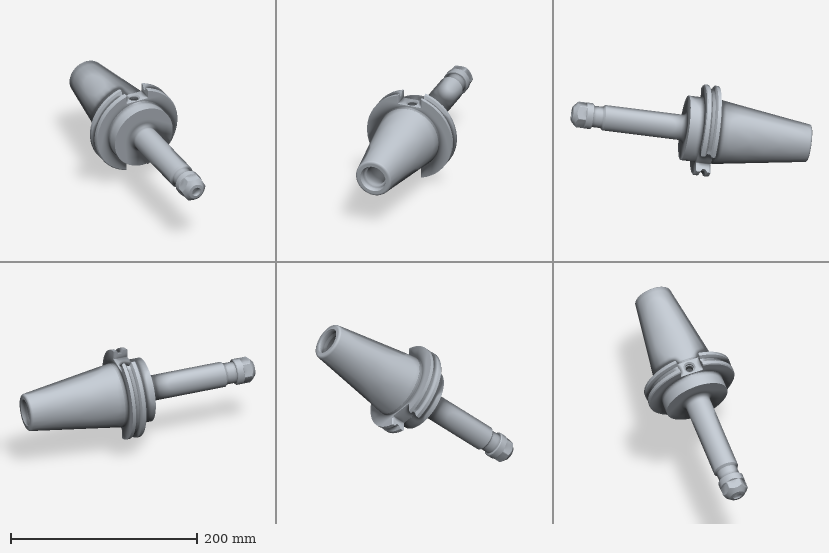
import cadquery as cq
import math


taper_length = 101.5
gauge_diameter = 69.8
taper_per_length = 7 / 24
small_diameter = gauge_diameter - taper_length * taper_per_length
small_end_fillet = 2.5

relief_diameter = 69.3
relief_step = 0.5

flange_start = 105.1
flange_end = 121.0
flange_diameter = 98.0
flange_chamfer = 1.0
flange_root_fillet = 0.8
groove_start = 108.8
groove_end = 116.3
groove_flank = 2.0
groove_depth = 4.0

hub_end = 136.3
hub_diameter = 69.8
extension_diameter = 27.5
extension_fillet = 3.6
extension_end = 227.0
extension_chamfer = 2.3
neck_diameter = 23.0

slot_width = 25.7
slot_floor_fillet = 0.8
slot_entry_chamfer = 1.0
top_slot_floor = 37.0
bottom_slot_floor = 35.5

screw_hole_x = (flange_start + flange_end) / 2
screw_hole_diameter = 8.0
screw_hole_depth = 10.5
screw_mouth_diameter = 12.7
screw_recess_diameter = 9.5
screw_recess_depth = 4.0
drill_point_half_angle = math.radians(59)

mouth_diameter = 29.0
mouth_depth = 2.0
entry_diameter = 27.5
pilot_diameter = 26.5
pilot_depth = 6.5
thread_diameter = 22.0
thread_depth = 57.0
bore_diameter = 11.5

nut_start = 237.3
nut_end = 259.5
nut_crown = 0.5
nut_diameter = 28.0
nut_back_chamfer = 0.8
nut_face_diameter = 17.0
nut_opening_diameter = 10.0
hex_sides = 6
hex_across_flats = 24.7
hex_start = 245.5
hex_runout_angle = math.radians(60)

spigot_diameter = 20.5
spigot_end = 251.8

cutter_overshoot = 2.5


def revolve_about_x(points):
    """Turn a closed profile of (x, radius) points about the X axis."""
    return cq.Workplane("XY").polyline(points).close().revolve(360, (0, 0, 0), (1, 0, 0))


def turned_blank():
    """Solid outer form of the holder, without slots and bore."""
    flange_radius = flange_diameter / 2
    groove_radius = flange_radius - groove_depth
    relief_radius = relief_diameter / 2
    hub_radius = hub_diameter / 2
    extension_radius = extension_diameter / 2
    neck_radius = neck_diameter / 2
    profile = (
        cq.Workplane("XY")
        .moveTo(0, 0)
        .lineTo(0, small_diameter / 2)
        .lineTo(taper_length, gauge_diameter / 2)
        .lineTo(taper_length + relief_step, relief_radius)
        .lineTo(flange_start - flange_root_fillet, relief_radius)
        .radiusArc((flange_start, relief_radius + flange_root_fillet), -flange_root_fillet)
        .lineTo(flange_start, flange_radius)
        .lineTo(groove_start, flange_radius)
        .lineTo(groove_start + groove_flank, groove_radius)
        .lineTo(groove_end - groove_flank, groove_radius)
        .lineTo(groove_end, flange_radius)
        .lineTo(flange_end - flange_chamfer, flange_radius)
        .lineTo(flange_end, flange_radius - flange_chamfer)
        .lineTo(flange_end, hub_radius + flange_root_fillet)
        .radiusArc((flange_end + flange_root_fillet, hub_radius), -flange_root_fillet)
        .lineTo(hub_end, hub_radius)
        .lineTo(hub_end, extension_radius + extension_fillet)
        .radiusArc((hub_end + extension_fillet, extension_radius), -extension_fillet)
        .lineTo(extension_end - extension_chamfer, extension_radius)
        .lineTo(extension_end, neck_radius)
        .lineTo(nut_start, neck_radius)
        .lineTo(nut_start, spigot_diameter / 2)
        .lineTo(spigot_end, spigot_diameter / 2)
        .lineTo(spigot_end, 0)
        .close()
    )
    blank = profile.revolve(360, (0, 0, 0), (1, 0, 0))
    return blank.faces("<X").edges().fillet(small_end_fillet)


def drive_slot(floor_height, side):
    """Cutter for one slot; side is +1 for the top and -1 for the bottom."""
    slot_height = flange_diameter / 2 - floor_height + cutter_overshoot
    middle = ((flange_start + flange_end) / 2, 0, side * (floor_height + slot_height / 2))
    cutter = cq.Workplane("XY").box(flange_end - flange_start, slot_width, slot_height).translate(middle)
    floor_face = "<Z" if side > 0 else ">Z"
    return cutter.faces(floor_face).edges("|X").fillet(slot_floor_fillet)


def slot_entry(floor_height, side):
    """Wedge cutter that chamfers both walls of a slot at the taper-side face."""
    wall = slot_width / 2
    points = [
        (flange_start, wall + slot_entry_chamfer),
        (flange_start + slot_entry_chamfer, wall),
        (flange_start + slot_entry_chamfer, -wall),
        (flange_start, -wall - slot_entry_chamfer),
    ]
    lowest = side * (floor_height + slot_floor_fillet)
    height = side * flange_diameter / 2
    return cq.Workplane("XY").workplane(offset=lowest).polyline(points).close().extrude(height)


def screw_hole():
    """Blind drilled hole with a countersunk mouth, going down from the top slot floor."""
    hole_radius = screw_hole_diameter / 2
    recess_radius = screw_recess_diameter / 2
    mouth_radius = screw_mouth_diameter / 2
    recess_bottom = top_slot_floor - screw_recess_depth
    hole_bottom = top_slot_floor - screw_hole_depth
    point_depth = hole_radius / math.tan(drill_point_half_angle)
    points = [
        (0, hole_bottom - point_depth),
        (hole_radius, hole_bottom),
        (hole_radius, recess_bottom),
        (recess_radius, recess_bottom),
        (recess_radius, top_slot_floor - (mouth_radius - recess_radius)),
        (mouth_radius, top_slot_floor),
        (0, top_slot_floor),
    ]
    cutter = cq.Workplane("XZ").polyline(points).close().revolve(360, (0, 0, 0), (0, 1, 0))
    return cutter.translate((screw_hole_x, 0, 0))


def stepped_bore():
    """Cutter for the draw-bar thread hole and the through bore behind it."""
    mouth_radius = mouth_diameter / 2
    entry_radius = entry_diameter / 2
    thread_radius = thread_diameter / 2
    bore_radius = bore_diameter / 2
    pilot_radius = pilot_diameter / 2
    point_depth = (thread_radius - bore_radius) / math.tan(drill_point_half_angle)
    return revolve_about_x([
        (0, 0),
        (0, mouth_radius),
        (mouth_depth, entry_radius),
        (pilot_depth, pilot_radius),
        (pilot_depth + pilot_radius - thread_radius, thread_radius),
        (thread_depth, thread_radius),
        (thread_depth + point_depth, bore_radius),
        (spigot_end, bore_radius),
        (spigot_end, 0),
    ])


def make_holder():
    holder = turned_blank()
    for floor_height, side in ((top_slot_floor, 1), (bottom_slot_floor, -1)):
        holder = holder.cut(drive_slot(floor_height, side))
        holder = holder.cut(slot_entry(floor_height, side))
    holder = holder.cut(screw_hole())
    return holder.cut(stepped_bore())


def hex_flat_cutter(angle):
    """Cutter for one wrench flat, ending in a sloping runout at the collar."""
    flat_height = hex_across_flats / 2
    cut_height = nut_diameter / 2 - flat_height + cutter_overshoot
    points = [
        (hex_start, flat_height),
        (nut_end, flat_height),
        (nut_end, flat_height + cut_height),
        (hex_start - cut_height / math.tan(hex_runout_angle), flat_height + cut_height),
    ]
    cutter = cq.Workplane("XZ").polyline(points).close().extrude(nut_diameter / 2, both=True)
    return cutter.rotate((0, 0, 0), (1, 0, 0), angle)


def make_nut():
    face_rim = nut_end - nut_crown
    nut_radius = nut_diameter / 2
    face_radius = nut_face_diameter / 2
    spigot_radius = spigot_diameter / 2
    opening_radius = nut_opening_diameter / 2
    nut = revolve_about_x([
        (nut_start, spigot_radius),
        (nut_start, nut_radius - nut_back_chamfer),
        (nut_start + nut_back_chamfer, nut_radius),
        (face_rim - (nut_radius - face_radius), nut_radius),
        (face_rim, face_radius),
        (nut_end, opening_radius),
        (spigot_end, opening_radius),
        (spigot_end, spigot_radius),
    ])
    for flat in range(hex_sides):
        nut = nut.cut(hex_flat_cutter(360 / hex_sides * flat))
    return nut


holder = make_holder()
nut = make_nut()
result = cq.Compound.makeCompound([holder.val(), nut.val()])